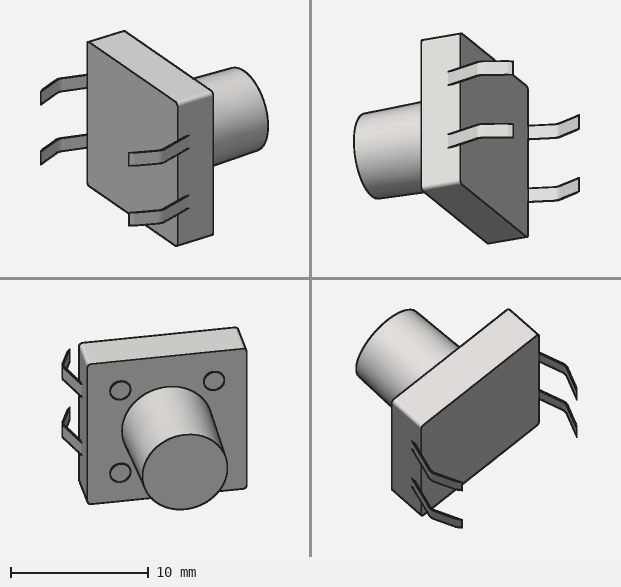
import cadquery as cq
import math

body_side = 11.83
body_depth = 3.12
corner_radius = 0.29

button_length = 6.67
button_tip_diameter = 6.3
button_base_diameter = 6.7

stud_diameter = 1.52
stud_height = 0.1
stud_offset = 3.47

overall_width = 13.53
overall_depth = 13.95
leg_width = 1.06
leg_spacing = 4.91
leg_thickness = 0.1
leg_root_depth = 2.15
bend_start_depth = 4.66
bend_end_depth = 5.38
bend_rise = 0.08
tip_bevel_depth = 0.3
tip_bevel_outset = 0.08

body_half = body_side / 2
leg_reach = (overall_width - body_side) / 2
leg_tip_depth = overall_depth - button_length


def make_body():
    body = cq.Workplane("XY").box(body_side, body_depth, body_side)
    return body.edges("|Y").fillet(corner_radius).translate((0, -body_depth / 2, 0))


def make_button():
    profile = [
        (0, 0),
        (button_base_diameter / 2, 0),
        (button_tip_diameter / 2, button_length),
        (0, button_length),
    ]
    return cq.Workplane("XY").polyline(profile).close().revolve(360, (0, 0), (0, 1))


def make_studs():
    centers = [(x, z) for x in (-stud_offset, stud_offset) for z in (-stud_offset, stud_offset)]
    studs = cq.Workplane("XZ").pushPoints(centers).circle(stud_diameter / 2)
    return studs.extrude(-stud_height)


def make_right_leg(z_center):
    """Leg on the +X side: slopes outwards, bends round, then slopes back to a bevelled tip."""
    bend_end_x = body_half + leg_reach - bend_rise
    bevel_x = body_half + tip_bevel_outset
    bevel_depth = leg_tip_depth - tip_bevel_depth

    out_angle = math.atan2(bend_end_x - body_half, bend_start_depth - leg_root_depth)
    back_angle = math.atan2(bend_end_x - bevel_x, bevel_depth - bend_end_depth)

    bend_start = (bend_end_x, -bend_start_depth)
    bend_middle = (body_half + leg_reach, -(bend_start_depth + bend_end_depth) / 2)
    bend_end = (bend_end_x, -bend_end_depth)

    inner_root = (body_half, -leg_root_depth - leg_thickness / math.sin(out_angle))
    inner_start = (
        bend_start[0] - leg_thickness * math.cos(out_angle),
        bend_start[1] - leg_thickness * math.sin(out_angle),
    )
    inner_middle = (bend_middle[0] - leg_thickness, bend_middle[1])
    inner_end = (
        bend_end[0] - leg_thickness * math.cos(back_angle),
        bend_end[1] + leg_thickness * math.sin(back_angle),
    )
    tip_run = leg_tip_depth + inner_end[1]
    tip = (inner_end[0] - tip_run * math.tan(back_angle), -leg_tip_depth)

    profile = (
        cq.Workplane("XY")
        .workplane(offset=z_center - leg_width / 2)
        .moveTo(body_half, -leg_root_depth)
        .lineTo(*bend_start)
        .threePointArc(bend_middle, bend_end)
        .lineTo(bevel_x, -bevel_depth)
        .lineTo(*tip)
        .lineTo(*inner_end)
        .threePointArc(inner_middle, inner_start)
        .lineTo(*inner_root)
        .close()
    )
    return profile.extrude(leg_width)


result = make_body().union(make_button()).union(make_studs())
for leg_z in (-leg_spacing / 2, leg_spacing / 2):
    right_leg = make_right_leg(leg_z)
    result = result.union(right_leg).union(right_leg.mirror("YZ"))